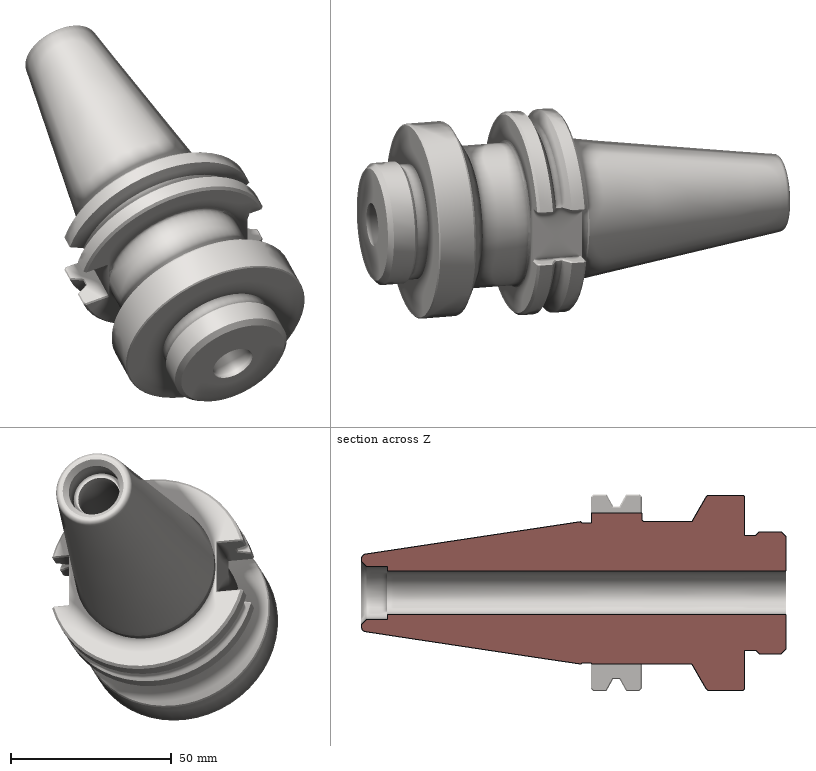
import cadquery as cq
import math


gauge_diameter = 44.48
taper_length = 68.25
tail_diameter = 23.9
tail_round = 1.5
relief_diameter = 43.69

flange_diameter = 63.5
flange_front = 3.175
flange_rear = 19.05
flange_chamfer = 0.76
groove_center = 11.11
groove_root_diameter = 56.36
groove_root_width = 2.0
groove_side_angle = 30

keyway_width = 16.28
keyway_edge_chamfer = 0.425
shallow_keyway_floor = 24.95
deep_keyway_floor = 22.225
keyways = [(1, shallow_keyway_floor), (-1, deep_keyway_floor)]

body_diameter = 44.48
body_fillet = 0.76
collar_diameter = 60.86
collar_cone_front = 34.5
collar_front = 39.2
collar_rear = 50.9
collar_edge_chamfer = 0.38
neck_diameter = 35.99
pilot_diameter = 38.1
pilot_front = 54.4
overall_length = 132.08
pilot_rear = overall_length - taper_length
pilot_rear_chamfer = 1.5

bore_diameter = 13.39
counterbore_diameter = 16.26
counterbore_depth = 8.0
countersink_diameter = 19.46


def cylinder(diameter, start, end):
    """Solid cylinder along X between two axial positions."""
    return cq.Workplane("YZ", origin=(start, 0, 0)).circle(diameter / 2).extrude(end - start)


def cone(start_diameter, start, end_diameter, end):
    """Solid truncated cone along X between two axial positions."""
    outline = [(start, 0), (start, start_diameter / 2), (end, end_diameter / 2), (end, 0)]
    return cq.Workplane("XY").polyline(outline).close().revolve(360, (0, 0, 0), (1, 0, 0))


def make_shank():
    taper = cone(tail_diameter, -taper_length, gauge_diameter, 0)
    taper = taper.faces("<X").edges().fillet(tail_round)
    shoulder_end = (gauge_diameter - relief_diameter) / 2
    shoulder = cone(gauge_diameter, 0, relief_diameter, shoulder_end)
    return taper.union(shoulder).union(cylinder(relief_diameter, shoulder_end, flange_front))


def make_groove():
    """Ring that cuts the V-groove into the flange rim."""
    root_radius = groove_root_diameter / 2
    rim_radius = flange_diameter / 2
    root_half = groove_root_width / 2
    rim_half = root_half + (rim_radius - root_radius) * math.tan(math.radians(groove_side_angle))
    outline = [
        (groove_center - root_half, root_radius),
        (groove_center + root_half, root_radius),
        (groove_center + rim_half, rim_radius),
        (groove_center - rim_half, rim_radius),
    ]
    return cq.Workplane("XY").polyline(outline).close().revolve(360, (0, 0, 0), (1, 0, 0))


def make_keyway(side, floor):
    """Slot cutter on the given side of the axis (+1 for +Y, -1 for -Y).

    It reaches past the flange to the end of the body fillet.
    """
    length = flange_rear + body_fillet - flange_front
    depth = flange_diameter / 2
    return cq.Workplane("XY").box(length, depth, keyway_width).translate(
        (flange_front + length / 2, side * (floor + depth / 2), 0)
    )


def break_keyway_edges(flange, side, floor):
    """Chamfer every edge of both keyway walls except the ones along the floor."""
    reach = flange_diameter
    margin = 0.01
    half = keyway_width / 2 + margin
    above_floor = cq.selectors.BoxSelector(
        (-reach, side * (floor + margin), -half),
        (reach, side * reach, half),
    )
    return flange.edges(above_floor).chamfer(keyway_edge_chamfer)


def make_flange():
    flange = cylinder(flange_diameter, flange_front, flange_rear)
    flange = flange.faces("<X or >X").edges().chamfer(flange_chamfer)
    flange = flange.cut(make_groove())
    for side, floor in keyways:
        flange = flange.cut(make_keyway(side, floor))
        flange = break_keyway_edges(flange, side, floor)
    return flange


def make_body_fillet():
    """Ring with a concave quarter round between the flange face and the body."""
    inner = body_diameter / 2
    outer = inner + body_fillet
    arc_reach = body_fillet * (1 - math.sqrt(0.5))
    return (
        cq.Workplane("XY")
        .moveTo(flange_rear, 0)
        .lineTo(flange_rear, outer)
        .threePointArc(
            (flange_rear + arc_reach, inner + arc_reach),
            (flange_rear + body_fillet, inner),
        )
        .lineTo(flange_rear + body_fillet, 0)
        .close()
        .revolve(360, (0, 0, 0), (1, 0, 0))
    )


def make_collar():
    collar = cylinder(collar_diameter, collar_front, collar_rear)
    collar = collar.union(cone(body_diameter, collar_cone_front, collar_diameter, collar_front))
    rim = cq.selectors.RadiusNthSelector(-1)
    return collar.edges("%CIRCLE").edges(rim).chamfer(collar_edge_chamfer)


def make_pilot():
    shoulder_end = pilot_front + (pilot_diameter - neck_diameter) / 2
    neck = cylinder(neck_diameter, collar_rear, pilot_front)
    shoulder = cone(neck_diameter, pilot_front, pilot_diameter, shoulder_end)
    pilot = cylinder(pilot_diameter, shoulder_end, pilot_rear)
    pilot = pilot.faces(">X").edges().chamfer(pilot_rear_chamfer)
    return neck.union(shoulder).union(pilot)


def make_bore():
    tail = -taper_length
    countersink_depth = (countersink_diameter - counterbore_diameter) / 2
    bore = cylinder(bore_diameter, tail, pilot_rear)
    bore = bore.union(cylinder(counterbore_diameter, tail, tail + counterbore_depth))
    return bore.union(
        cone(countersink_diameter, tail, counterbore_diameter, tail + countersink_depth)
    )


result = (
    make_shank()
    .union(make_flange())
    .union(cylinder(body_diameter, flange_rear, collar_cone_front))
    .union(make_body_fillet())
    .union(make_collar())
    .union(make_pilot())
    .cut(make_keyway(-1, deep_keyway_floor))
    .cut(make_bore())
)